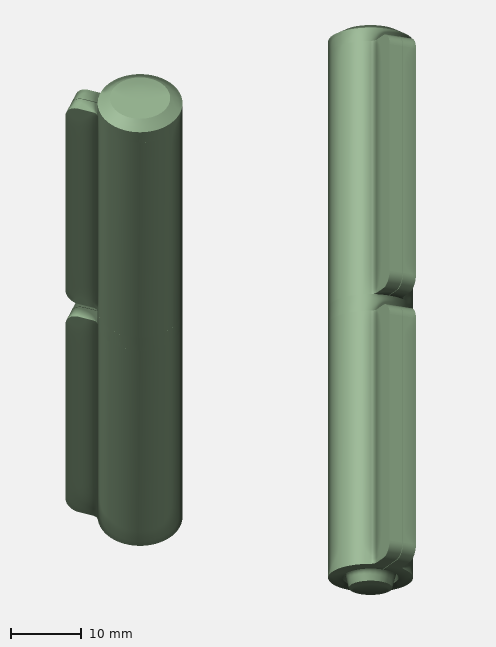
import cadquery as cq
import math


total_height = 83.0
pin_projection = 1.5
knuckle_height = 38.0
washer_height = 2.5

barrel_diameter = 12.0
bore_diameter = 8.0

overall_width = 16.5
seam_gap = 0.1
leaf_corner_radius = 2.0
root_fillet_radius = 1.0

shank_diameter = 7.7
taper_height = 3.0
tip_diameter = 6.15
head_top_diameter = 8.55
head_bevel_height = 1.0

barrel_radius = barrel_diameter / 2
bore_radius = bore_diameter / 2
ply_thickness = barrel_radius - bore_radius
leaf_half_thickness = ply_thickness + seam_gap / 2
leaf_tip_x = barrel_radius - overall_width

lower_knuckle_z = pin_projection
washer_z = lower_knuckle_z + knuckle_height
upper_knuckle_z = washer_z + washer_height
head_z = upper_knuckle_z + knuckle_height


def knuckle_outline(base_z):
    """Barrel circle blended into the straight sides of the leaf."""
    center_distance = barrel_radius + root_fillet_radius
    center_y = leaf_half_thickness + root_fillet_radius
    center_x = -math.sqrt(center_distance**2 - center_y**2)

    barrel_x = center_x * barrel_radius / center_distance
    barrel_y = center_y * barrel_radius / center_distance

    barrel_angle = math.atan2(-center_y, -center_x)
    leaf_angle = -math.pi / 2
    middle_angle = (barrel_angle + leaf_angle) / 2
    middle_x = center_x + root_fillet_radius * math.cos(middle_angle)
    middle_y = center_y + root_fillet_radius * math.sin(middle_angle)

    return (
        cq.Workplane("XY", origin=(0, 0, base_z))
        .moveTo(leaf_tip_x, -leaf_half_thickness)
        .lineTo(center_x, -leaf_half_thickness)
        .threePointArc((middle_x, -middle_y), (barrel_x, -barrel_y))
        .threePointArc((barrel_radius, 0), (barrel_x, barrel_y))
        .threePointArc((middle_x, middle_y), (center_x, leaf_half_thickness))
        .lineTo(leaf_tip_x, leaf_half_thickness)
        .close()
    )


def make_knuckle(base_z):
    """Sheet wrapped round the bore, its two plies forming the leaf."""
    body = knuckle_outline(base_z).extrude(knuckle_height)
    body = body.edges("|Y and <X").fillet(leaf_corner_radius)

    base_plane = cq.Workplane("XY", origin=(0, 0, base_z))
    bore = base_plane.circle(bore_radius).extrude(knuckle_height)
    seam_length = -leaf_tip_x
    seam = (
        base_plane.center(leaf_tip_x / 2, 0)
        .rect(seam_length, seam_gap)
        .extrude(knuckle_height)
    )
    return body.cut(bore).cut(seam).solids()


def make_washer():
    """Plain ring between the two knuckles."""
    return (
        cq.Workplane("XY", origin=(0, 0, washer_z))
        .circle(barrel_radius)
        .circle(bore_radius)
        .extrude(washer_height)
    )


def make_pin():
    """Turned pin with a tapered tip and a bevelled head."""
    shank_radius = shank_diameter / 2
    return (
        cq.Workplane("XZ")
        .moveTo(0, 0)
        .lineTo(tip_diameter / 2, 0)
        .lineTo(shank_radius, taper_height)
        .lineTo(shank_radius, head_z)
        .lineTo(barrel_radius, head_z)
        .lineTo(barrel_radius, total_height - head_bevel_height)
        .lineTo(head_top_diameter / 2, total_height)
        .lineTo(0, total_height)
        .close()
        .revolve(360, (0, 0, 0), (0, 1, 0))
    )


knuckles = [make_knuckle(base_z) for base_z in (lower_knuckle_z, upper_knuckle_z)]
washer = make_washer()
pin = make_pin()

result = cq.Compound.makeCompound(
    [knuckle.val() for knuckle in knuckles] + [washer.val(), pin.val()]
)